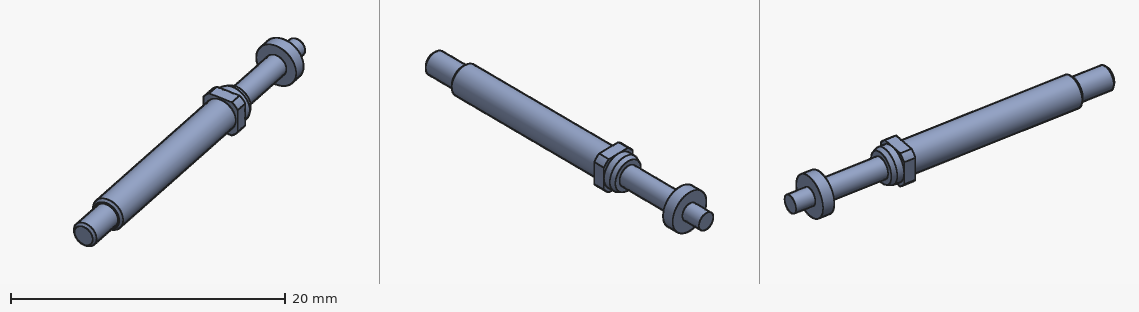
import cadquery as cq

tail_length = 3.0
body_length = 15.0
flats_length = 1.0
collar_length = 1.0
neck_length = 5.3
flange_length = 1.0
tip_length = 1.7

tail_diameter = 2.0
body_diameter = 2.65
collar_diameter = 3.0
neck_diameter = 1.8
flange_diameter = 3.5
tip_diameter = 1.5

width_across_flats = collar_diameter
corner_diameter = 3.6

end_chamfer = 0.2
collar_bevel_length = 0.4
collar_bevel_depth = (collar_diameter - body_diameter) / 2

body_start = tail_length
flats_start = body_start + body_length
collar_start = flats_start + flats_length
neck_start = collar_start + collar_length
flange_start = neck_start + neck_length
tip_start = flange_start + flange_length


def section_plane(start):
    """Sketch plane on the part axis at Y = start, facing +Y."""
    return cq.Workplane("XZ", origin=(0, start, 0))


def cylinder(start, length, diameter):
    """Cylinder on the part axis, running from Y = start toward +Y."""
    return section_plane(start).circle(diameter / 2).extrude(-length)


def tail():
    return cylinder(0, tail_length, tail_diameter).faces("<Y").chamfer(end_chamfer)


def body():
    return cylinder(body_start, body_length, body_diameter).faces("<Y").chamfer(end_chamfer)


def wrench_flats():
    square = section_plane(flats_start).rect(width_across_flats, width_across_flats).extrude(-flats_length)
    return square.intersect(cylinder(flats_start, flats_length, corner_diameter))


def collar():
    """Round collar with a shallow cone on its neck side, revolved about the part axis."""
    radius = collar_diameter / 2
    profile = (
        cq.Workplane("XY")
        .moveTo(0, collar_start)
        .lineTo(radius, collar_start)
        .lineTo(radius, neck_start - collar_bevel_length)
        .lineTo(radius - collar_bevel_depth, neck_start)
        .lineTo(0, neck_start)
        .close()
    )
    return profile.revolve(360, (0, 0, 0), (0, 1, 0))


def plunger():
    """Neck, contact flange and tip."""
    neck = cylinder(neck_start, neck_length, neck_diameter)
    flange = cylinder(flange_start, flange_length, flange_diameter)
    tip = cylinder(tip_start, tip_length, tip_diameter)
    return neck.union(flange).union(tip)


result = tail().union(body()).union(wrench_flats()).union(collar()).union(plunger())